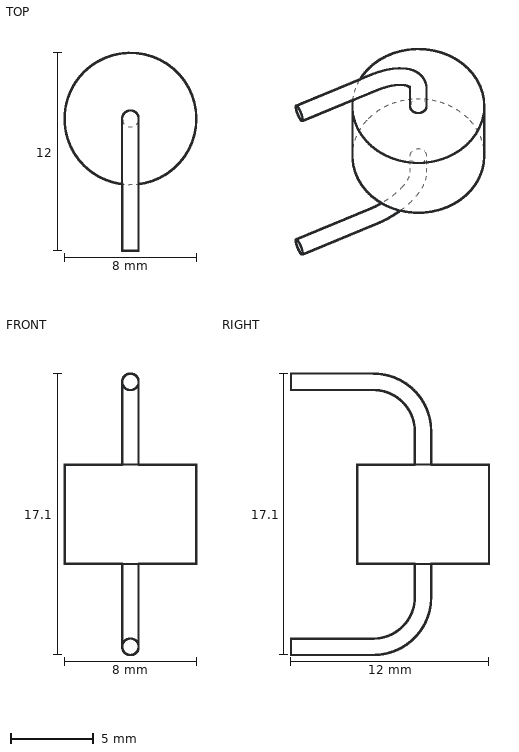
import cadquery as cq

total_height = 17.05
body_diameter = 8.0
body_height = 6.0
wire_diameter = 1.0
bend_radius = 3.0
lead_reach = 8.0

lead_level = (total_height - wire_diameter) / 2
bend_start = lead_level - bend_radius


def cylindrical_body():
    return cq.Workplane("XY").cylinder(body_height, body_diameter / 2)


def bent_lead(side):
    """Axial lead bent toward -Y; side is +1 for the upper lead and -1 for the lower."""
    path = (
        cq.Workplane("YZ")
        .moveTo(0, 0)
        .lineTo(0, side * bend_start)
        .radiusArc((-bend_radius, side * lead_level), -side * bend_radius)
        .lineTo(-lead_reach, side * lead_level)
    )
    return cq.Workplane("XY").circle(wire_diameter / 2).sweep(path)


result = cylindrical_body()
for side in (1, -1):
    result = result.union(bent_lead(side))